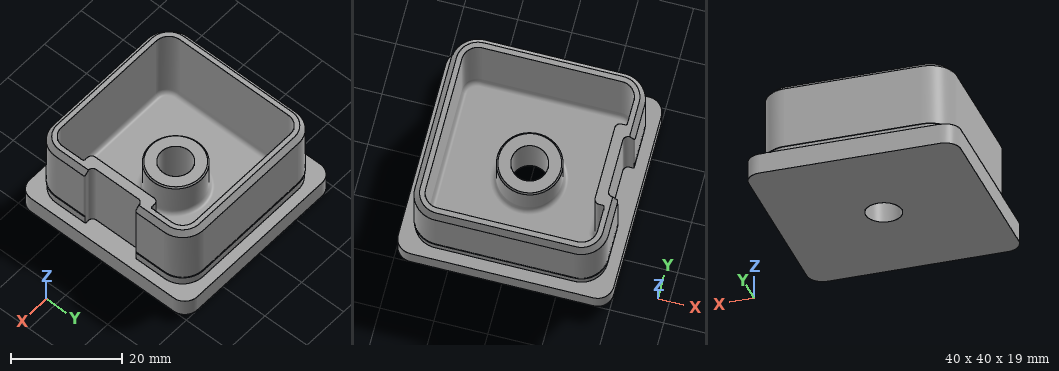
import cadquery as cq

flange_side = 40.0
flange_height = 4.0
flange_corner = 3.0

total_height = 19.0
cup_side = 35.9
cup_corner = 5.0
wall = 2.0
rim_chamfer = 1.0
neck_height = 2.0
neck_inset = 0.15
floor_height = 2.5
floor_fillet = 1.0

recess_width = 12.0
recess_depth = wall
step_width = 16.0
inward_corner = 1.0
wall_corner = 0.3

hub_diameter = 12.0
hub_top = 9.9
hub_edge = 0.3
bore_diameter = 6.8

cavity_side = cup_side - 2 * wall


def rounded_block(side, corner, bottom, top):
    """Square block centred on Z with rounded upright edges."""
    block = cq.Workplane("XY").workplane(offset=bottom).rect(side, side).extrude(top - bottom)
    return block.edges("|Z").fillet(corner)


def wall_block(face_x, depth, width, bottom, top):
    """Block reaching inward from an X plane, centred on the X axis."""
    return cq.Workplane("XY").box(depth, width, top - bottom, centered=(False, True, False)).translate(
        (face_x - depth, 0, bottom)
    )


def upright_edges_at(body, x, width):
    """The pair of upright edges at an X plane on both sides of a feature."""
    reach = 0.05
    pair = body.edges("|Z")
    return pair.filter(
        lambda edge: abs(edge.Center().x - x) < reach and abs(abs(edge.Center().y) - width / 2) < reach
    )


def make_shell():
    neck_top = flange_height + neck_height
    flange = rounded_block(flange_side, flange_corner, 0, flange_height)
    neck = rounded_block(cup_side - 2 * neck_inset, cup_corner - neck_inset, flange_height, neck_top)
    cup = rounded_block(cup_side, cup_corner, neck_top, total_height)
    cup = cup.faces(">Z").edges().chamfer(rim_chamfer)
    return flange.union(neck).union(cup)


def make_cavity():
    """Space inside the cup: stepped on +X, rounded at the floor and around the hub."""
    inner_x = cavity_side / 2
    cavity = rounded_block(cavity_side, cup_corner - wall, floor_height, total_height)
    cavity = cavity.cut(wall_block(inner_x, recess_depth, step_width, floor_height, total_height))
    cavity = upright_edges_at(cavity, inner_x - recess_depth, step_width).fillet(inward_corner)
    cavity = upright_edges_at(cavity, inner_x, step_width).fillet(wall_corner)
    hub = cq.Workplane("XY").workplane(offset=floor_height).circle(hub_diameter / 2)
    hub = hub.extrude(hub_top - floor_height).faces(">Z").edges().chamfer(hub_edge)
    return cavity.cut(hub).faces("<Z").edges().fillet(floor_fillet)


def make_recess():
    """Slot down the outside of the +X wall, ending on top of the flange."""
    outer_x = cup_side / 2
    recess = wall_block(outer_x, recess_depth, recess_width, flange_height, total_height)
    recess = upright_edges_at(recess, outer_x - recess_depth, recess_width).fillet(inward_corner)
    strip = wall_block(outer_x + wall, wall, step_width, flange_height, total_height)
    return upright_edges_at(recess.union(strip), outer_x, recess_width).fillet(wall_corner)


bore = cq.Workplane("XY").circle(bore_diameter / 2).extrude(hub_top)
result = make_shell().cut(make_cavity()).cut(make_recess()).cut(bore)